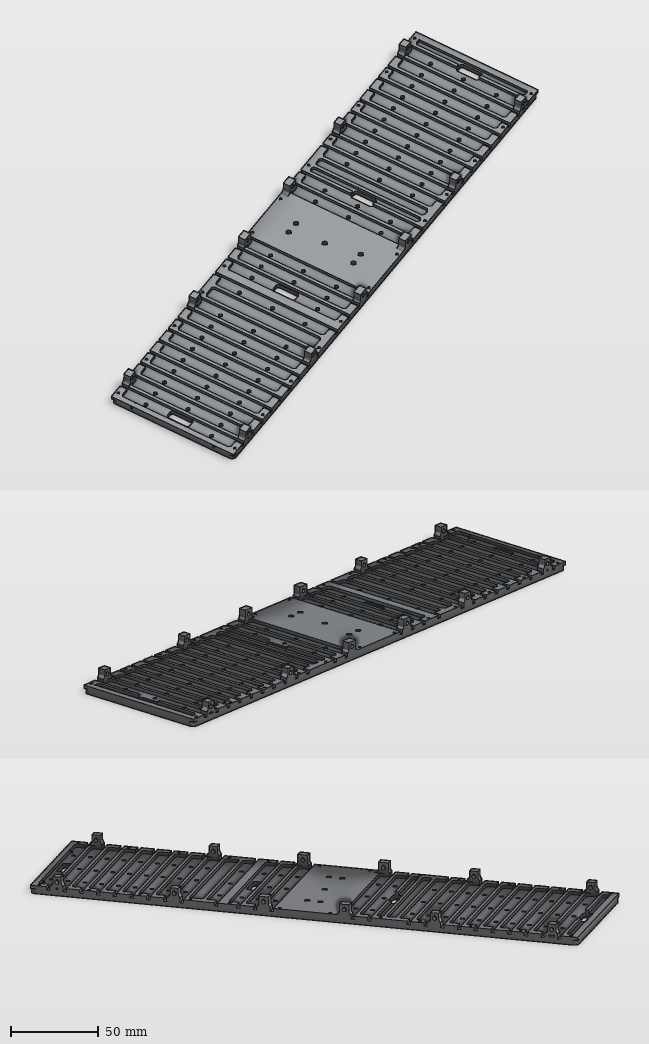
import cadquery as cq
import math

length = 327.5
width = 83.0
plate_height = 5.0
total_height = 11.5

pitch = 70.0 / 7
floor_height = 3.0
groove_width = 2.0
rib = 2.0
rim = 4.5
pocket_length = pitch - rib
pocket_width = width - 2 * rim
pocket_radius = 1.9
short_pocket_length = 4.0

first_edge = length / 2 - pitch
last_count = 9
end_margin = 11.5
last_edge = -length / 2 + end_margin
groove_groups = [
    (first_edge, 10),
    (40.0, 2),
    (-18.5, 3),
    (-51.7, 1),
    (last_edge + (last_count - 1) * pitch, last_count),
]
groove_edges = [start - i * pitch for start, count in groove_groups for i in range(count)]

hole_offset = 4.5
hole_x = 22.3
hole_diameter = 2.3
pad_hole_diameter = 3.0
pad_hole_x = 22.0
pad_hole_y = 4.0

opening_width = 15.0
opening_length = 6.0
opening_radius = 1.5
opening_centres = [155.5, 42.0, -42.0, -155.5]

pin_diameter = 1.47
pin_inset = 2.0
pin_x = width / 2 - pin_inset
pin_spacing = 30.0
inner_pin_start = pin_spacing / 2
outer_pin_end = 159.2
inner_pin_y = [inner_pin_start, inner_pin_start + pin_spacing]
outer_pin_y = [outer_pin_end - i * pin_spacing for i in range(4)]

narrow_lug_width = 5.0
narrow_lug_fillet = 3.5
narrow_lug_offset = 5.5
wide_lug_width = 6.0
wide_lug_fillet = 2.3
wide_lug_offset = 6.0
narrow_lug_grooves = [0, 7, 16, 23]
upper_wide_groove = 11
lower_wide_groove = 12
lug_hole_radius = 1.15
lug_hole_height = 8.2

side_hole_diameter = 1.0
side_hole_height = 4.3
side_slot_length = 3.0
side_hole_depth = 3.3

end_hole_x = 28.0
end_hole_diameter = 1.47
end_hole_height = 3.3
end_hole_depth = 4.5

corner_radius = 3.0
corner_height = 3.0


def box(x_size, y_min, y_max, z_min, z_max):
    """Block centred on X, spanning the given Y and Z ranges."""
    size = (x_size, y_max - y_min, z_max - z_min)
    return cq.Workplane("XY").box(*size, centered=(True, False, False)).translate((0, y_min, z_min))


def drill(points, diameter):
    """Vertical cutters through the plate."""
    return cq.Workplane("XY").pushPoints(points).circle(diameter / 2).extrude(plate_height)


def make_plate():
    """Plate whose vertical corners are rounded only along their lower part."""
    lower = box(width, -length / 2, length / 2, 0, corner_height)
    lower = lower.edges("|Z").fillet(corner_radius)
    upper = box(width, -length / 2, length / 2, corner_height, plate_height)
    return lower.union(upper)


def pocket(y_min, y_max, rounded_edges):
    """Pocket down to the common floor level."""
    cutter = box(pocket_width, y_min, y_max, floor_height, plate_height)
    return cutter.edges(rounded_edges).fillet(pocket_radius)


def groove_cutters():
    """Full-width grooves, each with its pocket."""
    cutters = []
    for edge in groove_edges:
        cutters.append(box(width, edge - groove_width, edge, floor_height, plate_height))
        cutters.append(pocket(edge - pocket_length, edge, "|Z and <Y"))
    return cutters


def separate_pocket_cutters():
    """Pockets that are not joined to a groove."""
    first_start, second_start, _, single_start, last_start = [start for start, count in groove_groups]
    first_end = first_start - (groove_groups[0][1] - 1) * pitch
    end_y = first_start + rib
    short_y = second_start + rib
    middle_y = short_y + short_pocket_length + rib
    middle_end = first_end - pocket_length - rib
    long_y = last_start + rib
    long_end = single_start - pocket_length - rib
    return [
        pocket(end_y, end_y + short_pocket_length, "|Z and <Y"),
        pocket(short_y, short_y + short_pocket_length, "|Z"),
        pocket(middle_y, middle_end, "|Z"),
        pocket(long_y, long_end, "|Z"),
    ]


def opening_cutter(y):
    """Rounded rectangular opening through the plate."""
    half = opening_length / 2
    return box(opening_width, y - half, y + half, 0, plate_height).edges("|Z").fillet(opening_radius)


def lug_pair(y, lug_width, fillet, y_min, y_max):
    """Lugs on both rims: concave feet, cut off at y_min and y_max, and a teardrop cross hole."""
    half = lug_width / 2
    foot = half + fillet
    bend = fillet * (1 - math.sqrt(0.5))
    foot_top = plate_height + fillet
    profile = (
        cq.Workplane("YZ", origin=(-width / 2, y, 0))
        .moveTo(-foot, floor_height)
        .lineTo(-foot, plate_height)
        .threePointArc((-half - bend, plate_height + bend), (-half, foot_top))
        .lineTo(-half, total_height)
        .lineTo(half, total_height)
        .lineTo(half, foot_top)
        .threePointArc((half + bend, plate_height + bend), (foot, plate_height))
        .lineTo(foot, floor_height)
        .close()
        .extrude(rim)
    )
    lug = profile.intersect(box(width, y_min, y_max, floor_height, total_height))
    tangent = lug_hole_radius * math.sqrt(0.5)
    teardrop = (
        cq.Workplane("YZ", origin=(-width / 2, y, lug_hole_height))
        .moveTo(-tangent, tangent)
        .threePointArc((0, -lug_hole_radius), (tangent, tangent))
        .lineTo(0, 2 * tangent)
        .close()
        .extrude(rim)
    )
    lug = lug.cut(teardrop)
    return lug.union(lug.mirror("YZ"))


def lugs():
    """All lugs, each kept on the ridge between its neighbouring grooves."""
    pairs = []
    for index in narrow_lug_grooves:
        edge = groove_edges[index]
        ridge = (edge - pitch, edge - groove_width)
        pairs.append(lug_pair(edge - narrow_lug_offset, narrow_lug_width, narrow_lug_fillet, *ridge))
    for index in (upper_wide_groove, lower_wide_groove):
        edge = groove_edges[index]
        y_min = 0 if index == upper_wide_groove else edge - pitch
        ridge = (y_min, edge - groove_width)
        pairs.append(lug_pair(edge - wide_lug_offset, wide_lug_width, wide_lug_fillet, *ridge))
    return pairs


def hole_cutters():
    """Round vertical holes in the pockets, the centre pad and the rims."""
    rows = [(x, edge - hole_offset) for edge in groove_edges for x in (-hole_x, 0, hole_x)]
    pad = [(sx * pad_hole_x, sy * pad_hole_y) for sx in (-1, 1) for sy in (-1, 1)]
    pins = [(sx * pin_x, sy * y) for sx in (-1, 1) for sy in (-1, 1) for y in inner_pin_y + outer_pin_y]
    return [
        drill(rows, hole_diameter),
        drill(pad + [(0, 0)], pad_hole_diameter),
        drill(pins, pin_diameter),
    ]


def side_hole_cutters():
    """A slot below the +Y end lugs and a round hole below the -Y end lugs, in both rims."""
    slot_y = groove_edges[narrow_lug_grooves[0]] - narrow_lug_offset
    round_y = groove_edges[narrow_lug_grooves[-1]] - narrow_lug_offset
    side = cq.Workplane("YZ", origin=(-width / 2, 0, side_hole_height))
    slot = side.center(slot_y, 0).slot2D(side_slot_length, side_hole_diameter).extrude(side_hole_depth)
    hole = side.center(round_y, 0).circle(side_hole_diameter / 2).extrude(side_hole_depth)
    return [slot, hole, slot.mirror("YZ"), hole.mirror("YZ")]


def end_hole_cutter():
    """Two blind holes starting from the -Y end face."""
    face = cq.Workplane("XZ", origin=(0, -length / 2, end_hole_height))
    holes = face.pushPoints([(-end_hole_x, 0), (end_hole_x, 0)]).circle(end_hole_diameter / 2)
    return holes.extrude(-end_hole_depth)


cutters = groove_cutters() + separate_pocket_cutters() + hole_cutters() + side_hole_cutters()
cutters += [opening_cutter(y) for y in opening_centres]
cutters.append(end_hole_cutter())
lug_solids = [solid for pair in lugs() for solid in pair.solids().vals()]
cutter_solids = [solid for cutter in cutters for solid in cutter.solids().vals()]

body = make_plate().val().fuse(*lug_solids).cut(*cutter_solids)
result = cq.Workplane("XY").newObject([body.clean().Solids()[0]])